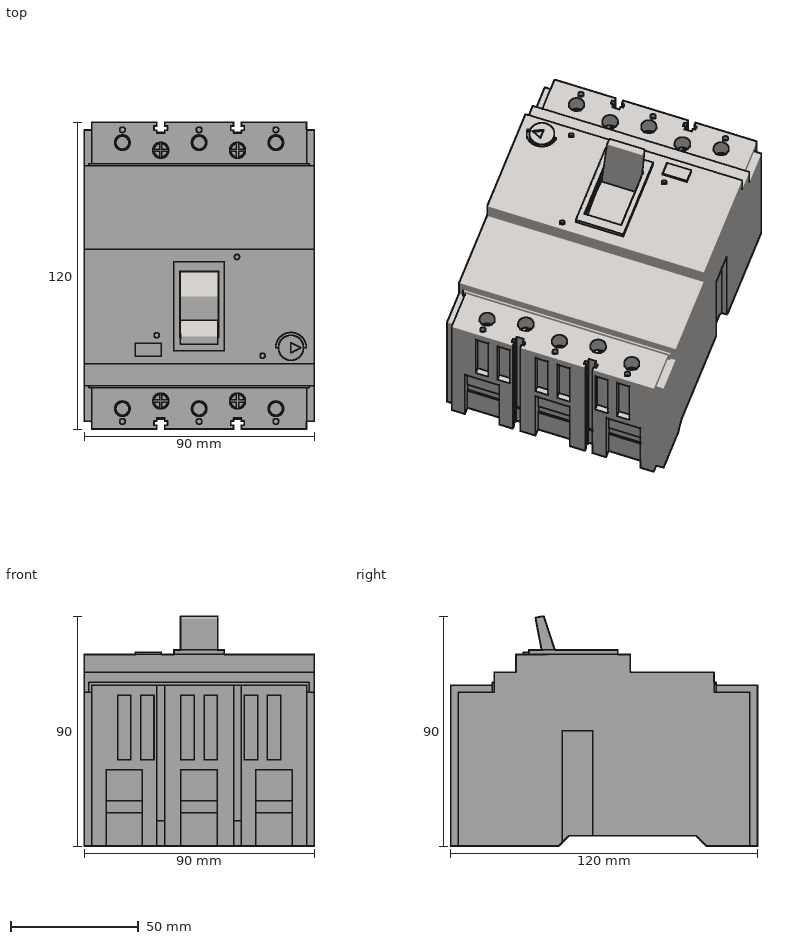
import cadquery as cq
WIDTH = 90.0
LENGTH = 120.0
TERMINAL_WIDTH = 84.0
TERMINAL_TOP = 63.0
SIDE_LENGTH = 114.0
SIDE_TOP = 60.1
COVER_LENGTH = 86.0
COVER_TOP = 68.0
FRONT_COVER_TOP = 75.0
FRONT_COVER_Y = (-34.5, 10.3)
LIP_WIDTH = 86.2
LIP_LENGTH = 87.5
LIP_TOP = 64.0
EDGE_RADIUS = 0.25

RAIL_Y = (-17.8, 40.0)
RAIL_DEPTH = 4.0
SIDE_RECESS_Y = (-16.3, -4.55)
SIDE_RECESS_TOP = 45.2
SIDE_RECESS_DEPTH = 2.0

POLE_PITCH = 30.0
POLES = (-1, 0, 1)
BARRIERS = (-0.5, 0.5)

BARRIER_SLOT_WIDTH = 3.0
BARRIER_SLOT_DEPTH = 4.4
BARRIER_KEY_WIDTH = 5.2
BARRIER_KEY_LENGTH = 1.5
BARRIER_KEY_INSET = 1.6
BARRIER_LEDGE_TOP = 10.0
BARRIER_LEDGE_DEPTH = 0.5

VENT_WIDTH = 5.2
VENT_GAP = 3.8
VENT_PITCH = 24.8
VENT_Z = (33.8, 59.0)
VENT_DEPTH = 2.3

BUSBAR_WIDTH = 14.2
BUSBAR_PITCH = 29.3
BUSBAR_TOP = 29.9
BUSBAR_DEPTH = 3.0
BUSBAR_GROOVE_Z = (13.0, 17.7)
BUSBAR_GROOVE_DEPTH = 0.6

CLAMP_Y = 52.0
CLAMP_RADIUS = 3.0
CLAMP_DEPTH = 8.0
CLAMP_SOCKET_RADIUS = 2.55
CLAMP_SOCKET_DEPTH = 2.0
PROBE_Y = 57.0
PROBE_RADIUS = 1.1
PROBE_DEPTH = 3.0
SCREW_Y = 49.0
SCREW_HOLE_RADIUS = 3.1
SCREW_HOLE_DEPTH = 8.0
SCREW_HEAD_RADIUS = 2.7
SCREW_HEAD_HEIGHT = 1.0
SCREW_CROSS_WIDTH = 0.9

BEZEL_WIDTH = 19.7
BEZEL_Y = (-29.4, 5.4)
BEZEL_TOP = 76.75
WINDOW_WIDTH = 15.3
WINDOW_Y = (-24.0, 1.7)
COVER_WINDOW_INSET = 0.25
PIVOT_Y = -12.0
PIVOT_Z = 40.0
DRUM_RADIUS = 32.4
DRUM_CREASE_ANGLE = 6.0
TOGGLE_WIDTH = 14.7
TOGGLE_TIP_REAR = (-23.6, 90.013)
TOGGLE_TIP_FRONT = (-26.9, 89.35)
TOGGLE_ROOT_FRONT = (-23.05, 69.0)
TOGGLE_ROOT_REAR = (-16.7, 69.0)
TOGGLE_EDGE_RADIUS = 0.4

BUTTON_X = (-24.95, -14.8)
BUTTON_Y = (-31.55, -26.4)
BUTTON_TOP = 75.9
PIN_HOLES = ((14.8, 7.3), (-16.6, -23.3), (24.8, -31.3))
PIN_HOLE_RADIUS = 1.0
PIN_HOLE_DEPTH = 2.0
DIAL_CENTER = (35.9, -28.2)
DIAL_RADIUS = 4.9
DIAL_DEPTH = 0.1
DIAL_GROOVE_RADIUS = 6.0
DIAL_GROOVE_DEPTH = 1.5
ARROW_LENGTH = 3.9
ARROW_WIDTH = 4.0
ARROW_DEPTH = 1.2

OVERCUT = 1.0


def block(x_range, y_range, z_range):
    """Axis-aligned box between the given limits."""
    size = [high - low for low, high in (x_range, y_range, z_range)]
    return cq.Workplane("XY").box(*size, centered=False).translate(
        (x_range[0], y_range[0], z_range[0])
    )


def span(center, size):
    return (center - size / 2, center + size / 2)


def cylinder(x, y, bottom, top, radius):
    return cq.Workplane("XY", origin=(x, y, bottom)).circle(radius).extrude(top - bottom)


def side_profile(points, width):
    """Extrude a (Y, Z) outline symmetrically about X = 0."""
    return cq.Workplane("YZ").polyline(points).close().extrude(width / 2, both=True)


def both_ends(shape):
    return shape.union(shape.mirror("XZ"))


def make_housing():
    """Stepped housing, softened on every edge except around the base."""
    body = block(span(0, TERMINAL_WIDTH), span(0, LENGTH), (0, TERMINAL_TOP))
    body = body.union(block(span(0, WIDTH), span(0, SIDE_LENGTH), (0, SIDE_TOP)))
    body = body.union(block(span(0, LIP_WIDTH), span(0, LIP_LENGTH), (0, LIP_TOP)))
    body = body.union(block(span(0, WIDTH), span(0, COVER_LENGTH), (0, COVER_TOP)))
    body = body.union(block(span(0, WIDTH), FRONT_COVER_Y, (0, FRONT_COVER_TOP)))
    return body.edges("not <Z").fillet(EDGE_RADIUS)


def rail_channel():
    """Channel across the base with 45 degree flanks."""
    front, rear = RAIL_Y
    outline = [
        (front - OVERCUT, -OVERCUT),
        (front + RAIL_DEPTH, RAIL_DEPTH),
        (rear - RAIL_DEPTH, RAIL_DEPTH),
        (rear + OVERCUT, -OVERCUT),
    ]
    return side_profile(outline, WIDTH + 2 * OVERCUT)


def side_recesses():
    recess = block(
        (-WIDTH / 2 - OVERCUT, -WIDTH / 2 + SIDE_RECESS_DEPTH),
        SIDE_RECESS_Y,
        (-OVERCUT, SIDE_RECESS_TOP),
    )
    return recess.union(recess.mirror("YZ"))


def end_pocket(x_range, depth, z_range):
    """Pocket sunk into the -Y end face."""
    end = -LENGTH / 2
    return block(x_range, (end - OVERCUT, end + depth), z_range)


def barrier_slot(x):
    """Vertical cross-shaped slot for a phase barrier."""
    slot_x = span(x, BARRIER_SLOT_WIDTH)
    key_front = -LENGTH / 2 + BARRIER_KEY_INSET
    key = block(
        span(x, BARRIER_KEY_WIDTH),
        (key_front, key_front + BARRIER_KEY_LENGTH),
        (-OVERCUT, TERMINAL_TOP + OVERCUT),
    )
    upper = end_pocket(slot_x, BARRIER_SLOT_DEPTH, (BARRIER_LEDGE_TOP, TERMINAL_TOP + OVERCUT))
    lower_depth = BARRIER_SLOT_DEPTH - BARRIER_LEDGE_DEPTH
    lower = end_pocket(slot_x, lower_depth, (-OVERCUT, BARRIER_LEDGE_TOP))
    return key.union(upper).union(lower)


def vent_pair(x):
    offset = (VENT_WIDTH + VENT_GAP) / 2
    left = end_pocket(span(x - offset, VENT_WIDTH), VENT_DEPTH, VENT_Z)
    right = end_pocket(span(x + offset, VENT_WIDTH), VENT_DEPTH, VENT_Z)
    return left.union(right)


def busbar_pocket(x):
    """Pocket open at the base, with a shallow groove across its floor."""
    x_range = span(x, BUSBAR_WIDTH)
    pocket = end_pocket(x_range, BUSBAR_DEPTH, (-OVERCUT, BUSBAR_TOP))
    groove = end_pocket(x_range, BUSBAR_DEPTH + BUSBAR_GROOVE_DEPTH, BUSBAR_GROOVE_Z)
    return pocket.union(groove)


def clamp_opening(x):
    """Stepped clamp-screw opening and the small probe hole beside it."""
    floor = TERMINAL_TOP - CLAMP_DEPTH
    top = TERMINAL_TOP + OVERCUT
    opening = cylinder(x, -CLAMP_Y, floor, top, CLAMP_RADIUS)
    socket = cylinder(x, -CLAMP_Y, floor - CLAMP_SOCKET_DEPTH, top, CLAMP_SOCKET_RADIUS)
    probe = cylinder(x, -PROBE_Y, TERMINAL_TOP - PROBE_DEPTH, top, PROBE_RADIUS)
    return opening.union(socket).union(probe)


def screw_opening(x):
    """Round hole that leaves a cross-slotted screw head standing on its floor."""
    floor = TERMINAL_TOP - SCREW_HOLE_DEPTH
    head_z = (floor, floor + SCREW_HEAD_HEIGHT)
    hole = cylinder(x, -SCREW_Y, floor, TERMINAL_TOP + OVERCUT, SCREW_HOLE_RADIUS)
    head = cylinder(x, -SCREW_Y, *head_z, SCREW_HEAD_RADIUS)
    long_side = 2 * SCREW_HEAD_RADIUS
    slot_x = block(span(x, long_side), span(-SCREW_Y, SCREW_CROSS_WIDTH), head_z)
    slot_y = block(span(x, SCREW_CROSS_WIDTH), span(-SCREW_Y, long_side), head_z)
    return hole.cut(head.cut(slot_x).cut(slot_y))


def cut_terminal_ends(body):
    for pole in POLES:
        body = body.cut(both_ends(vent_pair(pole * VENT_PITCH)))
        body = body.cut(both_ends(busbar_pocket(pole * BUSBAR_PITCH)))
        body = body.cut(both_ends(clamp_opening(pole * POLE_PITCH)))
    for barrier in BARRIERS:
        body = body.cut(both_ends(barrier_slot(barrier * POLE_PITCH)))
        body = body.cut(both_ends(screw_opening(barrier * POLE_PITCH)))
    return body


def drum():
    """Pivot drum whose surface drops more steeply on the -Y side of a crease."""
    full = (
        cq.Workplane("YZ")
        .center(PIVOT_Y, PIVOT_Z)
        .circle(DRUM_RADIUS)
        .extrude(WINDOW_WIDTH, both=True)
    )
    apex = (PIVOT_Y, PIVOT_Z + DRUM_RADIUS)
    tilted = full.rotate((0, *apex), (1, *apex), DRUM_CREASE_ANGLE)
    return full.intersect(tilted)


def add_toggle(body):
    """Bezel, window with the pivot drum as its floor, and the tilted lever."""
    body = body.union(block(span(0, BEZEL_WIDTH), BEZEL_Y, (COVER_TOP, BEZEL_TOP)))
    bezel_window = block(span(0, WINDOW_WIDTH), WINDOW_Y, (FRONT_COVER_TOP, BEZEL_TOP + OVERCUT))
    front, rear = WINDOW_Y
    cover_window = block(
        span(0, WINDOW_WIDTH - 2 * COVER_WINDOW_INSET),
        (front + COVER_WINDOW_INSET, rear - COVER_WINDOW_INSET),
        (PIVOT_Z, FRONT_COVER_TOP),
    )
    body = body.cut(bezel_window).cut(cover_window.cut(drum()))
    corners = [TOGGLE_ROOT_REAR, TOGGLE_TIP_REAR, TOGGLE_TIP_FRONT, TOGGLE_ROOT_FRONT]
    lever = side_profile(corners, TOGGLE_WIDTH).edges("not <Z").fillet(TOGGLE_EDGE_RADIUS)
    return body.union(lever)


def dial_cutter():
    """Shallow round dial, a half-ring groove on its +Y side and an arrow mark."""
    x, y = DIAL_CENTER
    top = FRONT_COVER_TOP + OVERCUT
    dial = cylinder(x, y, FRONT_COVER_TOP - DIAL_DEPTH, top, DIAL_RADIUS)
    groove_floor = FRONT_COVER_TOP - DIAL_GROOVE_DEPTH
    groove = cylinder(x, y, groove_floor, top, DIAL_GROOVE_RADIUS)
    groove = groove.cut(cylinder(x, y, groove_floor, top, DIAL_RADIUS))
    reach = DIAL_GROOVE_RADIUS + OVERCUT
    groove = groove.intersect(block(span(x, 2 * reach), (y, y + reach), (groove_floor, top)))
    arrow = (
        cq.Workplane("XY", origin=(x, y, FRONT_COVER_TOP - ARROW_DEPTH))
        .polyline([(0, -ARROW_WIDTH / 2), (ARROW_LENGTH, 0), (0, ARROW_WIDTH / 2)])
        .close()
        .extrude(ARROW_DEPTH)
    )
    return dial.union(groove).union(arrow)


def add_cover_details(body):
    body = body.union(block(BUTTON_X, BUTTON_Y, (COVER_TOP, BUTTON_TOP)))
    for x, y in PIN_HOLES:
        top = FRONT_COVER_TOP + OVERCUT
        body = body.cut(cylinder(x, y, FRONT_COVER_TOP - PIN_HOLE_DEPTH, top, PIN_HOLE_RADIUS))
    return body.cut(dial_cutter())


result = make_housing()
result = result.cut(rail_channel()).cut(side_recesses())
result = cut_terminal_ends(result)
result = add_toggle(result)
result = add_cover_details(result)